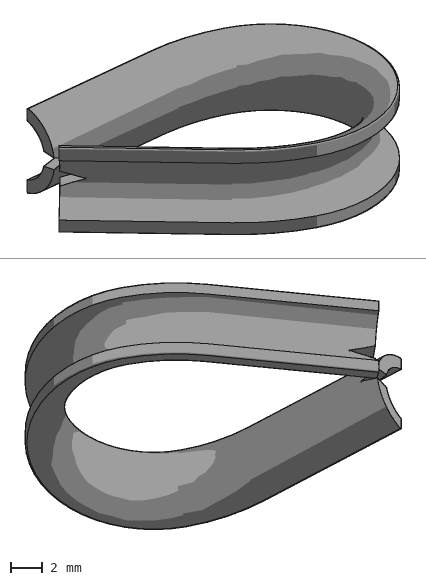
import cadquery as cq
import math

width = 16.3
length = 23.58
height = 6.1

crown_radius = width / 2
flank_radius = 13.77
flank_angle = math.radians(22.9)

lip_edge_height = 2.15
rim_radius = 0.12
groove_depth = 1.6
wall = 0.9

notch_depth = 2.17
notch_half_angle = math.radians(19)

half_height = height / 2
leg_end_y = crown_radius - length
flank_center_x = crown_radius - flank_radius


def flank_point(angle):
    """Point on the right-hand flank arc, measured clockwise from the X axis."""
    return (
        flank_center_x + flank_radius * math.cos(angle),
        -flank_radius * math.sin(angle),
    )


def mirrored(point):
    """Matching point on the left-hand side."""
    return (-point[0], point[1])


flank_middle = flank_point(flank_angle / 2)
flank_end = flank_point(flank_angle)
leg_drop = flank_end[1] - leg_end_y
leg_end = (flank_end[0] - leg_drop * math.tan(flank_angle), leg_end_y)


def teardrop_path():
    """Right leg, round crown and left leg as one tangent chain."""
    return (
        cq.Workplane("XY")
        .moveTo(*leg_end)
        .lineTo(*flank_end)
        .threePointArc(flank_middle, (crown_radius, 0))
        .threePointArc((0, crown_radius), (-crown_radius, 0))
        .threePointArc(mirrored(flank_middle), mirrored(flank_end))
        .lineTo(*mirrored(leg_end))
    )


def swept_channel():
    """Grooved wall; profile x points outward from the loop and y points up."""
    plane = cq.Plane(
        origin=(*leg_end, 0),
        xDir=(math.cos(flank_angle), -math.sin(flank_angle), 0),
        normal=(-math.sin(flank_angle), -math.cos(flank_angle), 0),
    )
    rim_start = half_height - rim_radius
    rim_bulge = rim_radius * (1 - math.sqrt(0.5))
    profile = (
        cq.Workplane(plane)
        .moveTo(0, lip_edge_height)
        .lineTo(0, rim_start)
        .threePointArc((-rim_bulge, half_height - rim_bulge), (-rim_radius, half_height))
        .threePointArc((-groove_depth - wall, 0), (-rim_radius, -half_height))
        .threePointArc((-rim_bulge, rim_bulge - half_height), (0, -rim_start))
        .lineTo(0, -lip_edge_height)
        .threePointArc((-groove_depth, 0), (0, lip_edge_height))
        .close()
    )
    return profile.sweep(teardrop_path())


def end_notch():
    """V-shaped cutter running along X across both leg ends."""
    mouth = notch_depth * math.tan(notch_half_angle)
    return (
        cq.Workplane("YZ")
        .moveTo(leg_end_y + notch_depth, 0)
        .lineTo(leg_end_y, mouth)
        .lineTo(leg_end_y, -mouth)
        .close()
        .extrude(width / 2, both=True)
    )


result = swept_channel().cut(end_notch())